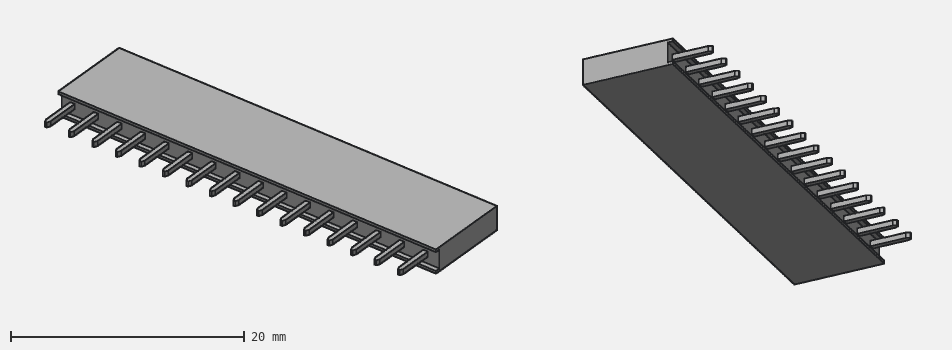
import cadquery as cq

housing_length = 40.8
housing_depth = 8.6
housing_height = 2.5

channel_depth = 0.5
lip_thickness = 0.3

pin_count = 16
pin_row_length = 38.1
first_pin_inset = 1.2
pin_width = 0.5
pin_height = 0.55
overall_depth = 11.85

tip_length = 0.33
tip_width = 0.2

pin_pitch = pin_row_length / (pin_count - 1)
channel_height = housing_height - 2 * lip_thickness
pin_tip_y = housing_depth - overall_depth
tip_start_y = pin_tip_y + tip_length


def make_housing():
    """Bar from X = 0 and Y = 0, centred on Z, with the channel cut in its -Y face."""
    bar = cq.Workplane("XY").box(
        housing_length, housing_depth, housing_height, centered=(False, False, True)
    )
    channel = cq.Workplane("XY").box(
        housing_length, channel_depth, channel_height, centered=(False, False, True)
    )
    return bar.cut(channel)


def make_pin(center_x):
    """Flat pin standing on the channel floor, with a tapered tip."""
    half_width = pin_width / 2
    half_tip = tip_width / 2
    outline = [
        (center_x - half_width, channel_depth),
        (center_x - half_width, tip_start_y),
        (center_x - half_tip, pin_tip_y),
        (center_x + half_tip, pin_tip_y),
        (center_x + half_width, tip_start_y),
        (center_x + half_width, channel_depth),
    ]
    return cq.Workplane("XY").polyline(outline).close().extrude(pin_height / 2, both=True)


result = make_housing()
for pin_index in range(pin_count):
    result = result.union(make_pin(first_pin_inset + pin_index * pin_pitch))